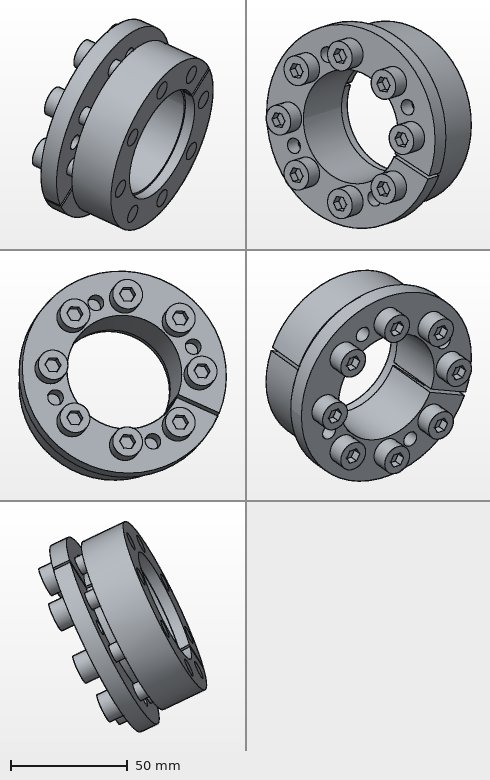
import cadquery as cq
import math


flange_diameter = 88.9
flange_thickness = 8.0
bore_diameter = 50.0
sleeve_root_radius = 27.7
taper_angle = 5.0
sleeve_setback = 5.0

ring_gap = 5.0
outer_ring_diameter = 80.05
outer_ring_length = 20.0

slit_width = 1.5

screw_count = 8
pitch_radius = 32.5
head_diameter = 13.0
head_height = 8.0
shank_diameter = 8.0
socket_flats = 6.0
socket_sides = 6
socket_depth = 4.0
jack_hole_count = 4
jack_hole_diameter = 6.8

outer_ring_start = flange_thickness + ring_gap
outer_ring_end = outer_ring_start + outer_ring_length
sleeve_end = outer_ring_end - sleeve_setback

screw_pitch_angle = 360 / screw_count
outer_slit_angle = screw_pitch_angle / 2
inner_slit_angle = outer_slit_angle + 180
screw_angles = [i * screw_pitch_angle for i in range(screw_count)]
first_jack_angle = screw_angles[1] + screw_pitch_angle / 2
jack_angles = [first_jack_angle + i * 360 / jack_hole_count for i in range(jack_hole_count)]


def cone_radius(x):
    """Radius at x of the cone on which the sleeve and the outer ring meet."""
    return sleeve_root_radius - (x - flange_thickness) * math.tan(math.radians(taper_angle))


def pitch_points(angles):
    """(Y, Z) places on the pitch circle at the given angles."""
    radians = [math.radians(angle) for angle in angles]
    return [(pitch_radius * math.cos(a), pitch_radius * math.sin(a)) for a in radians]


def rods(angles, diameter, start, end):
    """Cylinders along X on the pitch circle, used to cut holes."""
    plane = cq.Workplane("YZ", origin=(start, 0, 0))
    return plane.pushPoints(pitch_points(angles)).circle(diameter / 2).extrude(end - start)


def slit_cutter(angle):
    """Radial slab that slits one wall of a ring over its whole length."""
    slab = cq.Workplane("XY").box(
        outer_ring_end, flange_diameter, slit_width, centered=(False, False, True)
    )
    return slab.rotate((0, 0, 0), (1, 0, 0), angle)


def revolve_about_x(points):
    """Ring from an (X, radius) outline."""
    return cq.Workplane("XY").polyline(points).close().revolve(360, (0, 0, 0), (1, 0, 0))


def make_inner_ring():
    bore_radius = bore_diameter / 2
    ring = revolve_about_x([
        (0, bore_radius),
        (0, flange_diameter / 2),
        (flange_thickness, flange_diameter / 2),
        (flange_thickness, sleeve_root_radius),
        (sleeve_end, cone_radius(sleeve_end)),
        (sleeve_end, bore_radius),
    ])
    ring = ring.cut(rods(screw_angles, shank_diameter, 0, flange_thickness))
    ring = ring.cut(rods(jack_angles, jack_hole_diameter, 0, flange_thickness))
    return ring.cut(slit_cutter(inner_slit_angle))


def make_outer_ring():
    ring = revolve_about_x([
        (outer_ring_start, cone_radius(outer_ring_start)),
        (outer_ring_start, outer_ring_diameter / 2),
        (outer_ring_end, outer_ring_diameter / 2),
        (outer_ring_end, cone_radius(outer_ring_end)),
    ])
    ring = ring.cut(rods(screw_angles, shank_diameter, outer_ring_start, outer_ring_end))
    return ring.cut(slit_cutter(outer_slit_angle))


def make_screw(place):
    """Socket head screw whose shank ends flush with the outer ring's far face."""
    socket_corners = socket_flats / math.cos(math.pi / socket_sides)
    head = cq.Workplane("YZ", origin=(-head_height, 0, 0)).circle(head_diameter / 2).extrude(head_height)
    shank = cq.Workplane("YZ").circle(shank_diameter / 2).extrude(outer_ring_end)
    socket = (
        cq.Workplane("YZ", origin=(-head_height, 0, 0))
        .polygon(socket_sides, socket_corners)
        .extrude(socket_depth)
    )
    y, z = place
    return head.union(shank).cut(socket).translate((0, y, z))


inner_ring = make_inner_ring()
outer_ring = make_outer_ring()
screws = [make_screw(place) for place in pitch_points(screw_angles)]

result = cq.Compound.makeCompound(
    [inner_ring.val(), outer_ring.val(), *[screw.val() for screw in screws]]
)